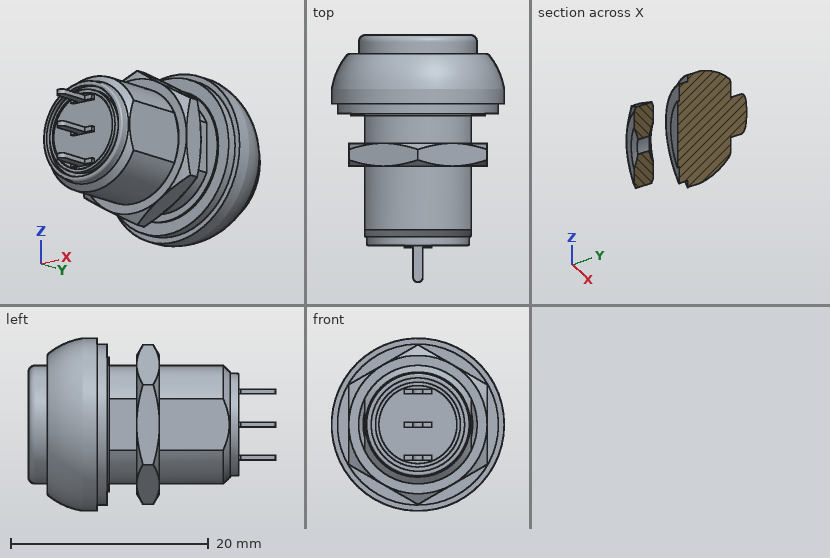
import cadquery as cq
import math


button_radius = 6.0
button_fillet = 0.7
button_length = 1.9
bezel_radius = 8.75
bezel_face_radius = 6.85
bezel_edge_width = 0.43
bezel_edge_drop = 0.23
dome_length = 3.35
dome_bulge = 0.23
bezel_rim_length = 1.5
gasket_radius = 8.15
gasket_length = 1.0
boss_radius = 6.8
boss_length = 0.2

barrel_radius = 6.0
barrel_flats = 10.8
barrel_length = 12.25
barrel_chamfer = 0.7

rim_radius = 5.2
rim_bore_radius = 4.73
rim_length = 0.9
rim_fillet = 0.2
root_fillet = 0.12
groove_depth = 0.5
insert_radius = 4.3
insert_recess_radius = 3.95
insert_recess_depth = 0.2

pin_count = 3
pin_pitch = 3.35
pin_thickness = 0.5
pin_width = 1.0
pin_base_width = 2.8
pin_base_height = 0.4
overall_length = 25.05

nut_sides = 6
nut_flats = 14.0
nut_thickness = 2.3
nut_gap = 2.8
nut_bore_radius = 5.55
nut_bore_chamfer = barrel_radius - nut_bore_radius
nut_corner_angle = 30.0

bezel_back = boss_length + gasket_length
dome_back = bezel_back + bezel_rim_length
bezel_face = dome_back + dome_length + bezel_edge_drop
button_face = bezel_face + button_length
barrel_end = -barrel_length
rim_end = barrel_end - rim_length
insert_floor = rim_end + insert_recess_depth
pin_tip = button_face - overall_length


def dome_middle():
    """Middle of the dome arc, pushed outward from its chord by the bulge."""
    front = (bezel_face_radius + bezel_edge_width, bezel_face - bezel_edge_drop)
    back = (bezel_radius, dome_back)
    run_r = back[0] - front[0]
    run_y = front[1] - back[1]
    chord = math.hypot(run_r, run_y)
    middle_r = (front[0] + back[0]) / 2 + dome_bulge * run_y / chord
    middle_y = (front[1] + back[1]) / 2 + dome_bulge * run_r / chord
    return (middle_r, middle_y)


def revolve_about_y(profile):
    return profile.close().revolve(360, (0, 0, 0), (0, 1, 0))


def make_turned_body():
    """Head, barrel, rear rim and insert as one turned profile of (radius, Y) points."""
    root_center = (rim_radius + root_fillet, barrel_end - root_fillet)
    root_middle = (
        root_center[0] - root_fillet * math.sqrt(0.5),
        root_center[1] + root_fillet * math.sqrt(0.5),
    )
    profile = (
        cq.Workplane("XY")
        .moveTo(0, button_face)
        .lineTo(button_radius - button_fillet, button_face)
        .tangentArcPoint((button_radius, button_face - button_fillet), relative=False)
        .lineTo(button_radius, bezel_face)
        .lineTo(bezel_face_radius, bezel_face)
        .tangentArcPoint(
            (bezel_face_radius + bezel_edge_width, bezel_face - bezel_edge_drop),
            relative=False,
        )
        .threePointArc(dome_middle(), (bezel_radius, dome_back))
        .lineTo(bezel_radius, bezel_back)
        .lineTo(gasket_radius, bezel_back)
        .lineTo(gasket_radius, boss_length)
        .lineTo(boss_radius, boss_length)
        .lineTo(boss_radius, 0)
        .lineTo(barrel_radius, 0)
        .lineTo(barrel_radius, barrel_end + barrel_chamfer)
        .lineTo(root_center[0], barrel_end)
        .threePointArc(root_middle, (rim_radius, root_center[1]))
        .lineTo(rim_radius, rim_end + rim_fillet)
        .tangentArcPoint((rim_radius - rim_fillet, rim_end), relative=False)
        .lineTo(rim_bore_radius, rim_end)
        .lineTo(rim_bore_radius, rim_end + groove_depth)
        .lineTo(insert_radius, rim_end + groove_depth)
        .lineTo(insert_radius, rim_end)
        .lineTo(insert_recess_radius, rim_end)
        .lineTo(insert_recess_radius, insert_floor)
        .lineTo(0, insert_floor)
    )
    return revolve_about_y(profile)


def make_flat_cutter(side):
    """Block that cuts one barrel flat; side is 1 for +X and -1 for -X."""
    depth = barrel_radius - barrel_flats / 2
    return (
        cq.Workplane("XY")
        .box(depth, barrel_length, 2 * barrel_radius)
        .translate((side * (barrel_flats + depth) / 2, -barrel_length / 2, 0))
    )


def make_pin(height):
    """Flat solder pin with a wide base and a round tip, rooted inside the insert."""
    root = insert_floor + pin_base_height
    base_end = insert_floor - pin_base_height
    tip_center = pin_tip + pin_width / 2
    return (
        cq.Workplane("XY", origin=(0, 0, height - pin_thickness / 2))
        .moveTo(-pin_base_width / 2, root)
        .lineTo(-pin_base_width / 2, base_end)
        .lineTo(-pin_width / 2, base_end)
        .lineTo(-pin_width / 2, tip_center)
        .threePointArc((0, pin_tip), (pin_width / 2, tip_center))
        .lineTo(pin_width / 2, base_end)
        .lineTo(pin_base_width / 2, base_end)
        .lineTo(pin_base_width / 2, root)
        .close()
        .extrude(pin_thickness)
    )


def make_switch():
    body = make_turned_body()
    for side in (-1, 1):
        body = body.cut(make_flat_cutter(side))
    for index in range(pin_count):
        height = (index - (pin_count - 1) / 2) * pin_pitch
        body = body.union(make_pin(height))
    return body


def make_nut(mating_body):
    """Hexagon nut with corners up and down, chamfered on both faces, fitted to the barrel."""
    front = -nut_gap
    back = front - nut_thickness
    corner_radius = nut_flats / 2 / math.cos(math.pi / nut_sides)
    corner_drop = (corner_radius - nut_flats / 2) * math.tan(math.radians(nut_corner_angle))
    corner_angles = [2 * math.pi * index / nut_sides for index in range(nut_sides)]
    corners = [
        (corner_radius * math.sin(angle), corner_radius * math.cos(angle))
        for angle in corner_angles
    ]
    hexagon = cq.Workplane("XZ", origin=(0, front, 0)).polyline(corners).close().extrude(nut_thickness)
    ring = revolve_about_y(
        cq.Workplane("XY")
        .moveTo(nut_bore_radius + nut_bore_chamfer, front)
        .lineTo(nut_flats / 2, front)
        .lineTo(corner_radius, front - corner_drop)
        .lineTo(corner_radius, back + corner_drop)
        .lineTo(nut_flats / 2, back)
        .lineTo(nut_bore_radius + nut_bore_chamfer, back)
        .lineTo(nut_bore_radius, back + nut_bore_chamfer)
        .lineTo(nut_bore_radius, front - nut_bore_chamfer)
    )
    return hexagon.intersect(ring).cut(mating_body)


switch = make_switch()
nut = make_nut(switch)

result = cq.Compound.makeCompound([switch.val(), nut.val()])